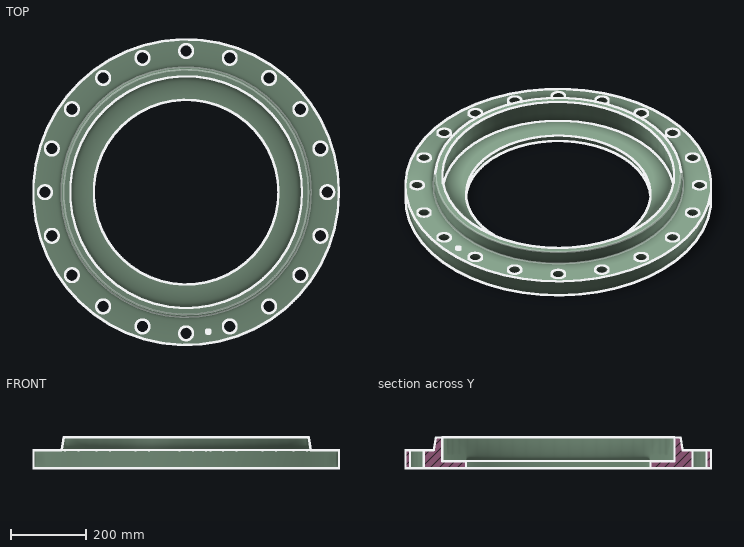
import cadquery as cq
import math

flange_diameter = 812.5
flange_thickness = 48.0
total_height = 83.0

hub_base_diameter = 663.0
hub_top_diameter = 652.0
hub_root_radius = 2.0
hub_rim_radius = 2.0

bore_diameter = 490.0
recess_diameter = 616.0
recess_floor_thickness = 19.0

bolt_count = 20
bolt_circle_diameter = 750.0
bolt_hole_diameter = 36.0

small_hole_diameter = 6.5
small_hole_depth = flange_thickness / 2
counterbore_diameter = 12.0
counterbore_depth = 2.5


def ring_body():
    """Revolved flange, hub, recess and bore, with the hub's rim and root rounded."""
    section = [
        (bore_diameter / 2, 0),
        (flange_diameter / 2, 0),
        (flange_diameter / 2, flange_thickness),
        (hub_base_diameter / 2, flange_thickness),
        (hub_top_diameter / 2, total_height),
        (recess_diameter / 2, total_height),
        (recess_diameter / 2, recess_floor_thickness),
        (bore_diameter / 2, recess_floor_thickness),
    ]
    body = cq.Workplane("XZ").polyline(section).close().revolve(360, (0, 0), (0, 1))
    hub_root = cq.selectors.RadiusNthSelector(-2)
    hub_rim = cq.selectors.RadiusNthSelector(-1)
    body = body.edges(hub_root).fillet(hub_root_radius)
    return body.faces(">Z").edges(hub_rim).fillet(hub_rim_radius)


def bolt_holes():
    """Cutters for the evenly spaced bolt holes, the first one on the +X axis."""
    return (
        cq.Workplane("XY")
        .polarArray(bolt_circle_diameter / 2, 0, 360, bolt_count)
        .circle(bolt_hole_diameter / 2)
        .extrude(flange_thickness)
    )


def with_small_hole(body):
    """Add the small hole half a bolt pitch to the +X side of the bolt hole on the -Y axis."""
    angle = math.radians(-90 + 360 / bolt_count / 2)
    radius = bolt_circle_diameter / 2
    return (
        cq.Workplane("XY", origin=(0, 0, flange_thickness))
        .add(body)
        .center(radius * math.cos(angle), radius * math.sin(angle))
        .cboreHole(small_hole_diameter, counterbore_diameter, counterbore_depth, small_hole_depth)
    )


result = with_small_hole(ring_body().cut(bolt_holes()))